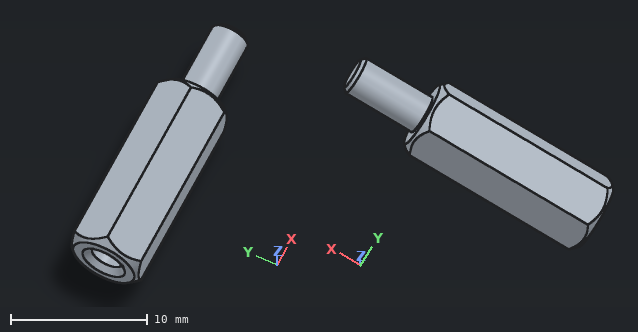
import cadquery as cq
import math

total_length = 21.0
body_length = 15.0
across_flats = 5.5
end_face_diameter = 5.05
stud_diameter = 3.0
stud_chamfer = 0.32
hole_diameter = 2.45
hole_depth = 10.0
countersink_diameter = 3.49
drill_tip_angle = 118.0

across_corners = across_flats / math.cos(math.radians(30))
body_chamfer = (across_corners - end_face_diameter) / 2
countersink_depth = (countersink_diameter - hole_diameter) / 2
drill_tip_length = hole_diameter / 2 / math.tan(math.radians(drill_tip_angle / 2))


def make_body():
    """Hexagonal bar with corners up and down and both ends turned to a cone."""
    bar = (
        cq.Workplane("YZ")
        .polygon(6, across_corners)
        .extrude(body_length)
        .rotate((0, 0, 0), (1, 0, 0), 90)
    )
    turned_envelope = (
        cq.Workplane("YZ")
        .circle(across_corners / 2)
        .extrude(body_length)
        .edges("%CIRCLE")
        .chamfer(body_chamfer)
    )
    return bar.intersect(turned_envelope)


def make_stud():
    """Plain stud on the +X end, with a chamfered tip."""
    return (
        cq.Workplane("YZ", origin=(body_length, 0, 0))
        .circle(stud_diameter / 2)
        .extrude(total_length - body_length)
        .faces(">X")
        .chamfer(stud_chamfer)
    )


def make_hole():
    """Countersunk blind hole from the -X end, with a conical drill tip."""
    return (
        cq.Workplane("XY")
        .moveTo(0, 0)
        .lineTo(0, countersink_diameter / 2)
        .lineTo(countersink_depth, hole_diameter / 2)
        .lineTo(hole_depth, hole_diameter / 2)
        .lineTo(hole_depth + drill_tip_length, 0)
        .close()
        .revolve(360, (0, 0, 0), (1, 0, 0))
    )


result = make_body().union(make_stud()).cut(make_hole())